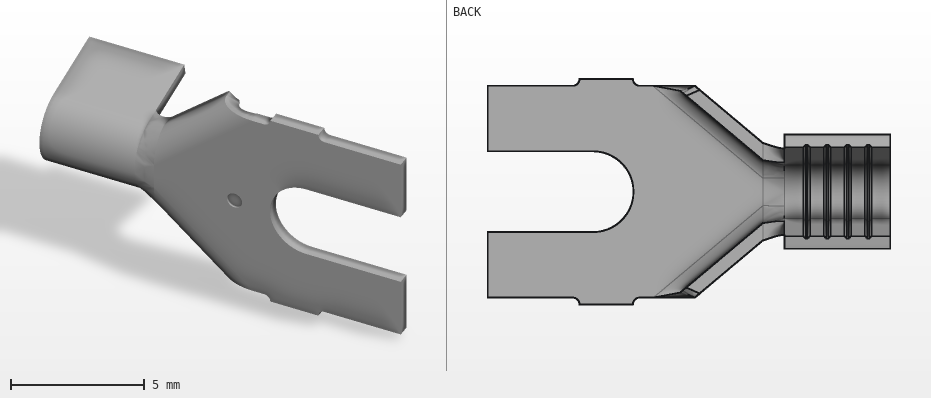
import cadquery as cq
import math

length = 15.06
width = 8.43
sheet = 0.5

barrel_length = 3.96
barrel_depth = 4.32
barrel_radius = 1.52
wing_angle = 12.25

groove_count = 4
groove_pitch = 0.77
groove_mouth = 0.25
groove_floor = 0.06
groove_depth = 0.1

neck_end = 4.77
neck_flat = 0.51
neck_root_flat = 0.78
neck_root_depth = 1.82

body_half = 3.96
shoulder_angle = 40.0
bend_radius = 1.01
flange_depth = 1.42
flange_corner = 0.24

slot_half = 1.5
slot_bottom = 9.61
tab_start = 9.62
tab_end = 11.63
dimple_x = 8.13
dimple_radius = 0.32
dimple_depth = 0.09

wing_sin = math.sin(math.radians(wing_angle))
wing_cos = math.cos(math.radians(wing_angle))
wing_length = (barrel_depth - barrel_radius * (1 - wing_sin) - sheet * wing_sin) / wing_cos
shoulder_sin = math.sin(math.radians(shoulder_angle))
shoulder_cos = math.cos(math.radians(shoulder_angle))
neck_length = neck_end - barrel_length


def barrel_point(radius, angle):
    """Point (y, z) on an arc about the barrel axis; angle 0 faces the sheet's outer side."""
    return (barrel_radius - radius * math.cos(angle), radius * math.sin(angle))


def wing_point(radius, reach):
    """Point (y, z) on the upper wing, at a distance past the end of the bend."""
    y, z = barrel_point(radius, math.radians(90 - wing_angle))
    return (y + reach * wing_cos, z + reach * wing_sin)


def mirrored(point):
    """The same (y, z) point on the lower side."""
    return (point[0], -point[1])


def barrel_shape():
    """U-shaped wrap: a bend about the barrel axis with a straight wing on each side."""
    outer_radius = barrel_radius
    inner_radius = barrel_radius - sheet
    return (
        cq.Workplane("YZ")
        .moveTo(*wing_point(outer_radius, wing_length))
        .lineTo(*wing_point(outer_radius, 0))
        .threePointArc(barrel_point(outer_radius, 0), mirrored(wing_point(outer_radius, 0)))
        .lineTo(*mirrored(wing_point(outer_radius, wing_length)))
        .lineTo(*mirrored(wing_point(inner_radius, wing_length)))
        .lineTo(*mirrored(wing_point(inner_radius, 0)))
        .threePointArc(barrel_point(inner_radius, 0), wing_point(inner_radius, 0))
        .lineTo(*wing_point(inner_radius, wing_length))
        .close()
        .extrude(barrel_length)
    )


def neck_solid(inset):
    """Filled neck, inset from the outer surface, from the barrel end to the fork."""
    root_radius = barrel_radius - inset
    strip_angle = math.asin(neck_root_flat / barrel_radius)
    bend_end = math.radians(90 - wing_angle)
    mid_angle = (strip_angle + bend_end) / 2
    root_reach = (neck_root_depth - wing_point(root_radius, 0)[0]) / wing_cos
    strip = barrel_point(root_radius, strip_angle)
    middle = barrel_point(root_radius, mid_angle)

    bend_y = bend_radius - inset
    bend_z = bend_y / shoulder_cos
    flange_z = neck_flat + bend_z
    return (
        cq.Workplane("YZ", origin=(barrel_length, 0, 0))
        .moveTo(*wing_point(root_radius, root_reach))
        .lineTo(*wing_point(root_radius, 0))
        .threePointArc(middle, strip)
        .threePointArc(barrel_point(root_radius, 0), mirrored(strip))
        .threePointArc(mirrored(middle), mirrored(wing_point(root_radius, 0)))
        .lineTo(*mirrored(wing_point(root_radius, root_reach)))
        .close()
        .workplane(offset=neck_length)
        .moveTo(neck_root_depth, flange_z)
        .lineTo(bend_radius, flange_z)
        .ellipseArc(bend_y, bend_z, 90, 180, rotation_angle=0, sense=1)
        .lineTo(inset, -neck_flat)
        .ellipseArc(bend_y, bend_z, 180, 270, rotation_angle=0, sense=1)
        .lineTo(neck_root_depth, -flange_z)
        .close()
        .loft(ruled=True)
    )


def neck():
    """Hollow neck whose open edges sweep down in an arc to the flange height."""
    drop = neck_root_depth - flange_depth
    sweep_radius = (neck_length**2 + drop**2) / (2 * drop)
    shell = neck_solid(0).cut(neck_solid(sheet))
    trim = (
        cq.Workplane("XY")
        .center(neck_end, flange_depth + sweep_radius)
        .circle(sweep_radius)
        .extrude(width, both=True)
    )
    return shell.cut(trim)


def tab():
    """Upper side tab, blended into the edge of the body by a concave arc at each end."""
    radius = width / 2 - body_half
    foot_start = tab_start - radius
    foot_end = tab_end + radius
    middle = radius * math.sqrt(0.5)
    return (
        cq.Workplane("XZ")
        .moveTo(foot_start, body_half)
        .threePointArc((foot_start + middle, width / 2 - middle), (tab_start, width / 2))
        .lineTo(tab_end, width / 2)
        .threePointArc((foot_end - middle, width / 2 - middle), (foot_end, body_half))
        .lineTo(foot_end, slot_half)
        .lineTo(foot_start, slot_half)
        .close()
        .extrude(-sheet)
    )


def fork_plate():
    """Flat sheet bounded by the two fold lines, with the side tabs."""
    fold_end = neck_end + (body_half - neck_flat) * shoulder_cos / shoulder_sin
    upper = [(neck_end, neck_flat), (fold_end, body_half), (length, body_half)]
    lower = [(x, -z) for x, z in reversed(upper)]
    plate = cq.Workplane("XZ").polyline(upper + lower).close().extrude(-sheet)
    return plate.union(tab()).union(tab().mirror("XY"))


def flange():
    """Upper shoulder flange: a right-angle bend along the fold line, with a skewed end.

    Local axes: X across the fold and outward, Y into the depth, Z back along the fold.
    """
    inner_radius = bend_radius - sheet
    middle = math.sqrt(0.5)
    fold_length = (body_half - neck_flat) / shoulder_sin

    def end_setback(radius):
        """Distance the end face draws back over the bend, less on the inner side."""
        return (radius + bend_radius) / 2 * shoulder_cos / shoulder_sin

    def bend_point(radius):
        return (radius * middle, bend_radius - radius * middle)

    def end_curve(radius):
        """Elliptical arc of the bend's end face at a given radius from the bend axis."""
        setback = end_setback(radius)
        return cq.Edge.makeEllipse(
            math.hypot(radius, setback),
            radius,
            cq.Vector(0, bend_radius, -fold_length),
            cq.Vector(-setback, 0, radius),
            cq.Vector(radius, 0, setback),
            270,
            360,
        )

    bend = (
        cq.Workplane("XY")
        .threePointArc(bend_point(bend_radius), (bend_radius, bend_radius))
        .lineTo(inner_radius, bend_radius)
        .threePointArc(bend_point(inner_radius), (0, sheet))
        .close()
        .extrude(length, both=True)
    )
    end_face = cq.Face.makeRuledSurface(end_curve(inner_radius / 2), end_curve(bend_radius + sheet))
    beyond_end = cq.Solid.extrudeLinear(end_face, cq.Vector(0, 0, -2 * length))
    bend = bend.cut(cq.Workplane(beyond_end))

    outer_end = fold_length - end_setback(bend_radius)
    inner_end = fold_length - end_setback(inner_radius)
    corner_start = flange_depth - flange_corner
    corner_bow = flange_corner * (1 - middle)
    slope = (inner_end - outer_end) / (flange_depth - bend_radius)
    inner_corner = outer_end + slope * flange_corner
    leg = (
        cq.Workplane(cq.Plane(origin=(inner_radius, 0, 0), xDir=(0, 0, -1), normal=(1, 0, 0)))
        .moveTo(-length, bend_radius)
        .lineTo(inner_end, bend_radius)
        .lineTo(inner_corner, corner_start)
        .lineTo(outer_end, flange_depth)
        .lineTo(-length, flange_depth)
        .close()
        .workplane(offset=sheet)
        .moveTo(-length, bend_radius)
        .lineTo(outer_end, bend_radius)
        .lineTo(outer_end, corner_start)
        .threePointArc(
            (outer_end - corner_bow, flange_depth - corner_bow),
            (outer_end - flange_corner, flange_depth),
        )
        .lineTo(-length, flange_depth)
        .close()
        .loft(ruled=True)
    )

    along_fold = cq.Plane(
        origin=(neck_end, 0, neck_flat),
        xDir=(-shoulder_sin, 0, shoulder_cos),
        normal=(-shoulder_cos, 0, -shoulder_sin),
    )
    strip = cq.Workplane(bend.union(leg).val().moved(cq.Location(along_fold)))
    fork_side = cq.Workplane("XY").box(length, width, 2 * width).translate((neck_end + length / 2, 0, 0))
    return strip.intersect(fork_side)


def slot():
    """Open-ended stud slot with a round bottom."""
    centre = slot_bottom + slot_half
    return (
        cq.Workplane("XZ")
        .moveTo(length, slot_half)
        .lineTo(centre, slot_half)
        .threePointArc((slot_bottom, 0), (centre, -slot_half))
        .lineTo(length, -slot_half)
        .close()
        .extrude(-sheet)
    )


def groove(centre):
    """Tapered groove that follows the inside of the barrel from wing tip to wing tip."""
    radius = barrel_radius - sheet
    tip = wing_point(radius, wing_length)
    path = (
        cq.Workplane("YZ", origin=(centre, 0, 0))
        .moveTo(*tip)
        .lineTo(*wing_point(radius, 0))
        .threePointArc(barrel_point(radius, 0), mirrored(wing_point(radius, 0)))
        .lineTo(*mirrored(tip))
    )
    wing_tip = cq.Plane(origin=(centre, *tip), xDir=(-1, 0, 0), normal=(0, wing_cos, wing_sin))
    return (
        cq.Workplane(wing_tip)
        .moveTo(-groove_mouth / 2, 0)
        .lineTo(-groove_floor / 2, groove_depth)
        .lineTo(groove_floor / 2, groove_depth)
        .lineTo(groove_mouth / 2, 0)
        .close()
        .sweep(path)
    )


def dimple():
    """Shallow round recess in the outer face of the fork."""
    return (
        cq.Workplane("XZ")
        .center(dimple_x, 0)
        .circle(dimple_radius)
        .extrude(-dimple_depth)
    )


barrel = barrel_shape()
for index in range(groove_count):
    offset = (index - (groove_count - 1) / 2) * groove_pitch
    barrel = barrel.cut(groove(barrel_length / 2 + offset))

fork = fork_plate().cut(slot()).cut(dimple())
upper_flange = flange()
lower_flange = upper_flange.mirror("XY")

result = barrel.union(neck()).union(fork).union(upper_flange).union(lower_flange)